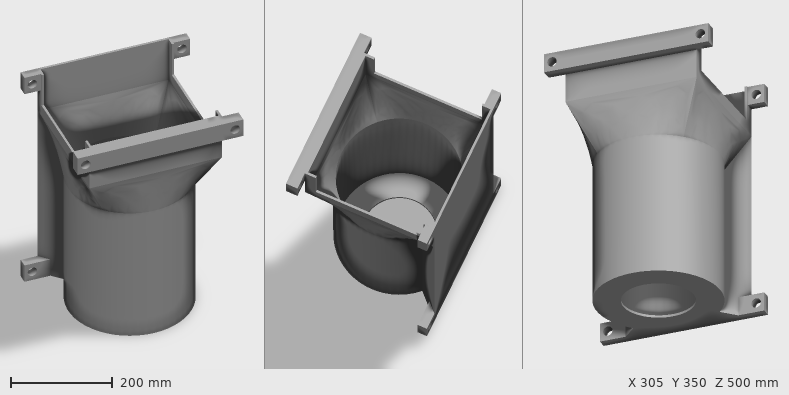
import cadquery as cq
import math

total_height = 500
box_side = 280
wall = 5
pipe_bore = 250
outlet_diameter = 148.28
floor_thickness = wall

transition_bottom = 300
transition_top = 400
side_wall_top = 425

corner_post = 23.5

lug_span = 350
lug_height = 40
plate_lug_depth = 20
bar_depth = 25
lug_hole_diameter = 20
lug_hole_spacing = 316
lug_hole_edge = 20

half_side = box_side / 2
pipe_outer = pipe_bore + 2 * wall
box_inner = box_side - 2 * wall
axis_x = half_side


def block(x_size, y_size, z_size, x_start, z_start):
    """Box centred on Y = 0, placed by its lowest X and Z."""
    return cq.Workplane("XY").box(x_size, y_size, z_size, centered=(False, True, False)).translate(
        (x_start, 0, z_start)
    )


def cylinder(diameter, z_start, z_end):
    """Upright cylinder on the pipe axis."""
    return cq.Workplane("XY", origin=(axis_x, 0, z_start)).circle(diameter / 2).extrude(z_end - z_start)


def corner_points(half_width, z):
    """Four corners of a square on the pipe axis, counterclockwise."""
    signs = [(1, 1), (-1, 1), (-1, -1), (1, -1)]
    return [cq.Vector(axis_x + sx * half_width, sy * half_width, z) for sx, sy in signs]


def square_to_round(side, diameter):
    """Solid between a square at the top and a circle at the bottom, seams on the diagonals."""
    radius = diameter / 2
    square = corner_points(side / 2, transition_top)
    seams = corner_points(radius * math.sqrt(0.5), transition_bottom)
    centre = cq.Vector(axis_x, 0, transition_bottom)
    middles = [
        centre + cq.Vector(dx * radius, dy * radius, 0)
        for dx, dy in [(0, 1), (-1, 0), (0, -1), (1, 0)]
    ]
    lines = []
    arcs = []
    for i in range(4):
        following = (i + 1) % 4
        lines.append(cq.Edge.makeLine(square[i], square[following]))
        arcs.append(cq.Edge.makeThreePointArc(seams[i], middles[i], seams[following]))
    round_wire = cq.Wire.assembleEdges(arcs)
    square_wire = cq.Wire.assembleEdges(lines)
    return cq.Workplane(cq.Solid.makeLoft([round_wire, square_wire], True))


def back_plate():
    """Full-height plate whose sides run at 45 degrees to the pipe, along the transition's seams."""
    depth = half_side - pipe_outer / 2 * math.sqrt(0.5)
    outline = [
        (0, -half_side),
        (depth, depth - half_side),
        (depth, half_side - depth),
        (0, half_side),
    ]
    return cq.Workplane("XY").polyline(outline).close().extrude(transition_top)


def duct_outside():
    box = block(box_side, box_side, total_height - transition_top, 0, transition_top)
    pipe = cylinder(pipe_outer, 0, transition_bottom)
    return box.union(square_to_round(box_side, pipe_outer)).union(pipe).union(back_plate())


def duct_inside():
    box = block(box_inner, box_inner, total_height - transition_top, wall, transition_top)
    pipe = cylinder(pipe_bore, floor_thickness, transition_bottom)
    outlet = cylinder(outlet_diameter, 0, floor_thickness)
    return box.union(square_to_round(box_inner, pipe_bore)).union(pipe).union(outlet)


def side_wall_cutout():
    width = box_side - 2 * corner_post
    return block(width, box_side, total_height - side_wall_top, corner_post, side_wall_top)


def lugs():
    """Bars whose ends form the lugs: two along the back plate and one across the opposite wall."""
    upper_z = total_height - lug_height
    opposite_bar = block(bar_depth, lug_span, lug_height, box_side, upper_z)
    upper_bar = block(plate_lug_depth, lug_span, lug_height, 0, upper_z)
    lower_bar = block(plate_lug_depth, lug_span, lug_height, 0, 0)
    return opposite_bar.union(upper_bar).union(lower_bar)


def lug_holes():
    """Holes along X through every lug."""
    length = box_side + bar_depth
    half_y = lug_hole_spacing / 2
    centres = [
        (y, z)
        for y in (-half_y, half_y)
        for z in (lug_hole_edge, total_height - lug_hole_edge)
    ]
    return cq.Workplane("YZ").pushPoints(centres).circle(lug_hole_diameter / 2).extrude(length)


outside = duct_outside().union(lugs())
result = outside.cut(duct_inside()).cut(side_wall_cutout()).cut(lug_holes())